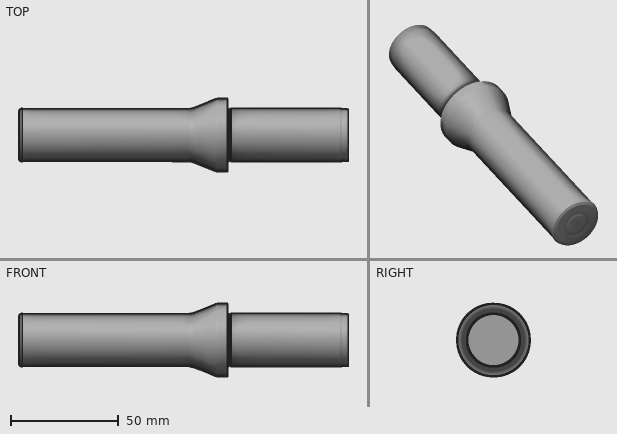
import cadquery as cq

LENGTH = 153.0

CAP_FACE_RADIUS = 21.5 / 2
CAP_BEVEL_RADIUS = 24.0 / 2
CAP_BEVEL_END = 0.6
CAP_RIM_RADIUS = 25.0 / 2
CAP_END = 1.7

RING_OUTER_RADIUS = 14.8 / 2
RING_BOTTOM_RADIUS = 11.6 / 2
RING_INNER_RADIUS = 9.0 / 2
RING_DEPTH = 0.3
CENTRE_DEPTH = 0.3

SHAFT_RADIUS = 24.5 / 2
COLLAR_RADIUS = 34.0 / 2
CONE_START = 80.2
CONE_END = 92.0
COLLAR_END = 97.0
ROOT_FILLET = 5.5
CREST_FILLET = 2.1
COLLAR_EDGE_CHAMFER = 0.3

NECK_RADIUS = 24.0 / 2
NECK_ROOT = 0.5
NECK_END = 98.0
SEAT_RADIUS = 25.0 / 2
SEAT_START = 98.7
SEAT_END = 149.0
PILOT_RADIUS = SHAFT_RADIUS
PILOT_START = 149.8
REAR_EDGE_START = 151.6
REAR_FACE_RADIUS = 24.0 / 2


def turned(points):
    """Revolve a closed (x, radius) profile about the X axis."""
    return cq.Workplane("XY").polyline(points).close().revolve(360, (0, 0, 0), (1, 0, 0))


def circle_at(x, radius):
    """Select the circular edge with the given place on the axis and radius."""
    margin = 0.02
    low = (x - margin, -radius - margin, -radius - margin)
    high = (x + margin, radius + margin, radius + margin)
    return cq.selectors.BoxSelector(low, high, boundingbox=True)


def make_end_cap():
    return turned([
        (CENTRE_DEPTH, 0),
        (0, RING_INNER_RADIUS),
        (RING_DEPTH, RING_BOTTOM_RADIUS),
        (0, RING_OUTER_RADIUS),
        (0, CAP_FACE_RADIUS),
        (CAP_BEVEL_END, CAP_BEVEL_RADIUS),
        (CAP_END, CAP_RIM_RADIUS),
        (CAP_END, 0),
    ])


def make_pin():
    pin = turned([
        (CAP_END, 0),
        (CAP_END, SHAFT_RADIUS),
        (CONE_START, SHAFT_RADIUS),
        (CONE_END, COLLAR_RADIUS),
        (COLLAR_END - COLLAR_EDGE_CHAMFER, COLLAR_RADIUS),
        (COLLAR_END, COLLAR_RADIUS - COLLAR_EDGE_CHAMFER),
        (COLLAR_END, NECK_RADIUS + NECK_ROOT),
        (COLLAR_END + NECK_ROOT, NECK_RADIUS),
        (NECK_END, NECK_RADIUS),
        (SEAT_START, SEAT_RADIUS),
        (SEAT_END, SEAT_RADIUS),
        (PILOT_START, PILOT_RADIUS),
        (REAR_EDGE_START, PILOT_RADIUS),
        (LENGTH, REAR_FACE_RADIUS),
        (LENGTH, 0),
    ])
    pin = pin.edges(circle_at(CONE_START, SHAFT_RADIUS)).fillet(ROOT_FILLET)
    return pin.edges(circle_at(CONE_END, COLLAR_RADIUS)).fillet(CREST_FILLET)


end_cap = make_end_cap()
pin = make_pin()

result = cq.Compound.makeCompound([end_cap.val(), pin.val()])